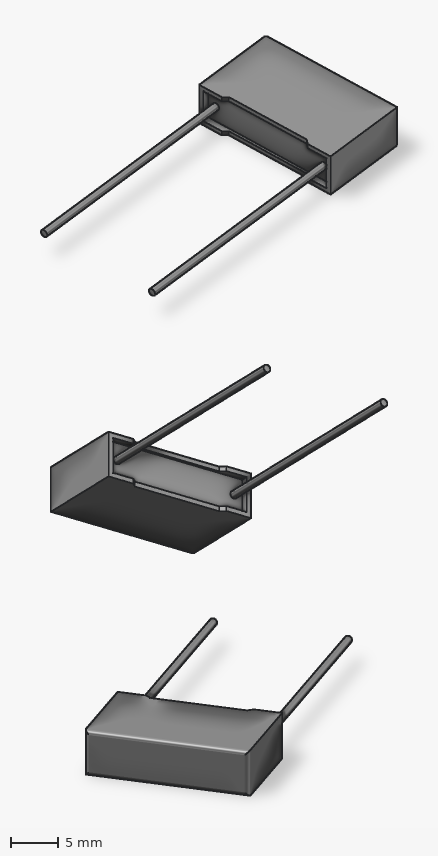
import cadquery as cq

overall_length = 38.1
case_width = 18.3
case_depth = 11.1
case_height = 5.22
wall = 0.57
back_edge_radius = 0.5

notch_depth = 0.5
notch_slope_run = 0.57
rim_foot_width = 3.15

fill_recess = 0.85
lead_diameter = 0.88
lead_pitch = 15.0

cavity_width = case_width - 2 * wall
cavity_height = case_height - 2 * wall
cavity_depth = case_depth - wall
notch_half_width = case_width / 2 - rim_foot_width
lead_tip_y = case_depth - overall_length


def make_block(width, height, y_start, y_end):
    """Block centred on the Y axis, reaching from y_start to y_end."""
    depth = y_end - y_start
    block = cq.Workplane("XY").box(width, depth, height, centered=(True, False, True))
    return block.translate((0, y_start, 0))


def make_rim_notch():
    """Trapezoidal cutter that relieves both long walls at the rim."""
    inner_half_width = notch_half_width - notch_slope_run
    return (
        cq.Workplane("XY")
        .polyline(
            [
                (-notch_half_width, 0),
                (notch_half_width, 0),
                (inner_half_width, notch_depth),
                (-inner_half_width, notch_depth),
            ]
        )
        .close()
        .extrude(case_height / 2, both=True)
    )


def make_case():
    """Hollow case with rounded back edges and a notched rim."""
    shell = make_block(case_width, case_height, 0, case_depth)
    shell = shell.faces(">Y").edges().fillet(back_edge_radius)
    cavity = make_block(cavity_width, cavity_height, 0, cavity_depth)
    return shell.cut(cavity).cut(make_rim_notch())


def make_fill():
    """Potting block that fills the cavity behind the recess."""
    return make_block(cavity_width, cavity_height, fill_recess, cavity_depth)


def make_lead(x):
    """Round wire from its free tip to the face of the fill."""
    lead_length = fill_recess - lead_tip_y
    lead = cq.Workplane("XZ").circle(lead_diameter / 2).extrude(-lead_length)
    return lead.translate((x, lead_tip_y, 0))


case = make_case()
fill = make_fill()
leads = [make_lead(side * lead_pitch / 2) for side in (-1, 1)]

result = cq.Compound.makeCompound([case.val(), fill.val(), *[lead.val() for lead in leads]])